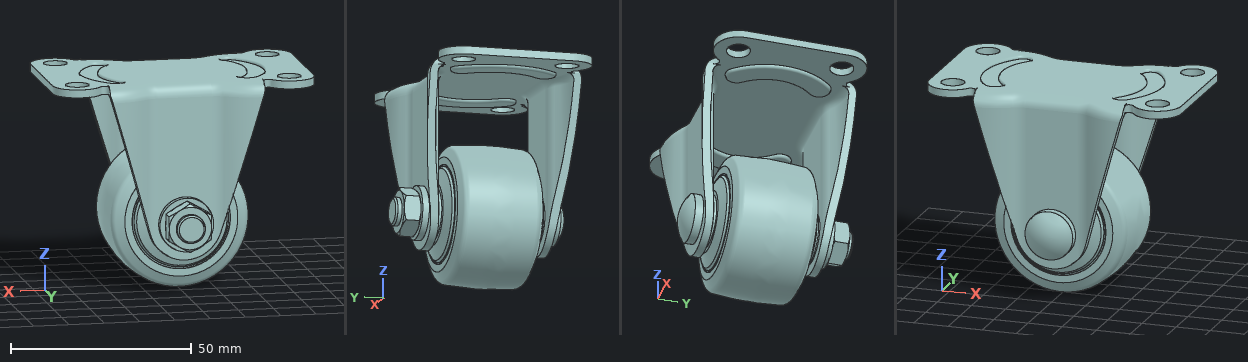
import cadquery as cq
import math


axle_height = 40.0
sheet = 2.3

plate_length = 74.0
plate_width = 44.0
corner_radius = 7.0
hole_spacing_x = 60.0
hole_spacing_y = 30.0
hole_diameter = 6.6
notch_radius = 1.3

leg_half_width = 21.9
flat_half_width = 7.6
flat_outer_y = 18.0
curve_end_x = 21.4
inner_curve_radius = 6.5
bend_inner_radius = 2.0
bend_outer_radius = bend_inner_radius + sheet
leg_tip_radius = 10.3

recess_center_x = 5.9
recess_arc_radius = 17.5
recess_half_angle = 43.0
recess_depth = 1.0
recess_floor_half_width = 2.5
recess_lip = 0.99
bulge_half_width = 3.3
bulge_rounding = 0.9

wheel_radius = 20.0
tread_edge_radius = 19.5
tread_half_width = 9.8
shoulder_radius = 18.2
shoulder_y = 11.4
shoulder_bulge = 0.28
rim_radius = 16.0
rim_y = 12.4
groove_outer_radius = 13.9
groove_depth = 0.4
hub_radius = 13.4
hub_rim_y = 13.05
hub_chamfer = 0.6
hub_face_radius = 8.8
hub_face_y = 14.4
collar_radius = 7.6
collar_chamfer = 0.5

axle_radius = 4.0
axle_chamfer = 0.5
axle_end_y = 26.5
head_radius = 7.0
head_rim_height = 2.4
head_tip_y = 23.0
washer_radius = 7.6
washer_thickness = 1.9
nut_across_flats = 12.0
nut_height = 4.9
nut_half_angle = 30.0
nut_chamfer_angle = 30.0

plate_bottom_z = axle_height - sheet
flat_inner_y = flat_outer_y - sheet
leg_edge_y = plate_width / 2
recess_box_x = recess_center_x + recess_arc_radius + bulge_half_width
recess_box_y = recess_arc_radius * math.sin(math.radians(recess_half_angle)) + bulge_half_width


step_run = curve_end_x - flat_half_width
step_rise = leg_edge_y - flat_outer_y
step_angle = 2 * math.atan(step_rise / step_run)
outer_curve_radius = step_run / math.sin(step_angle) - inner_curve_radius


def leg_curve(inset):
    """Quarter of the leg curve in plan, moved inwards by inset, from the flat to past the leg edge."""
    near_radius = inner_curve_radius + inset
    far_radius = outer_curve_radius - inset

    def near_point(angle):
        return (flat_half_width + near_radius * math.sin(angle),
                flat_outer_y + inner_curve_radius - near_radius * math.cos(angle))

    def far_point(angle):
        return (curve_end_x - far_radius * math.sin(angle),
                leg_edge_y - outer_curve_radius + far_radius * math.cos(angle))

    beyond_edge = (leg_half_width + sheet, leg_edge_y - inset)
    return [near_point(0), near_point(step_angle / 2), near_point(step_angle),
            far_point(step_angle / 2), far_point(0), beyond_edge]


def waisted_block(inset, top_z, bend_radius):
    """Block between the two leg curves with its long top edges rounded."""
    curve = leg_curve(inset)
    back_side = [(-x, y) for x, y in reversed(curve)] + curve
    front_side = [(-x, -y) for x, y in back_side]
    bottom_z = -leg_tip_radius - sheet
    outline = cq.Workplane("XY").workplane(offset=bottom_z).moveTo(*front_side[-1])
    for side in (back_side, front_side):
        start, left_end, left_1, left_2, left_3, left_flat = side[:6]
        right_flat, right_1, right_2, right_3, right_end, finish = side[6:]
        outline = outline.lineTo(*start).lineTo(*left_end)
        outline = outline.threePointArc(left_1, left_2).threePointArc(left_3, left_flat)
        outline = outline.lineTo(*right_flat)
        outline = outline.threePointArc(right_1, right_2).threePointArc(right_3, right_end)
        outline = outline.lineTo(*finish)
    block = outline.close().extrude(top_z - bottom_z)
    return block.faces(">Z").edges("not(|Y)").fillet(bend_radius)


def leg_silhouette():
    """Tapered outline of the legs seen along Y, rounded around the axle."""
    corner_distance = math.hypot(leg_half_width, plate_bottom_z)
    corner_angle = math.atan2(plate_bottom_z, leg_half_width)
    tangent_angle = corner_angle - math.acos(leg_tip_radius / corner_distance)
    tangent_x = leg_tip_radius * math.cos(tangent_angle)
    tangent_z = leg_tip_radius * math.sin(tangent_angle)
    return (cq.Workplane("XZ")
            .moveTo(-leg_half_width, axle_height)
            .lineTo(leg_half_width, axle_height)
            .lineTo(leg_half_width, plate_bottom_z)
            .lineTo(tangent_x, tangent_z)
            .threePointArc((0, -leg_tip_radius), (-tangent_x, tangent_z))
            .lineTo(-leg_half_width, plate_bottom_z)
            .close()
            .extrude(plate_width, both=True))


def plate_end(side):
    """End of the plate with two round ears, on the +X (side 1) or -X (side -1) end."""
    ear_x = plate_length / 2 - corner_radius
    ear_y = plate_width / 2 - corner_radius
    notch_x = leg_half_width + notch_radius
    center_distance = corner_radius + notch_radius
    notch_y = ear_y + math.sqrt(center_distance**2 - (ear_x - notch_x)**2)
    join_angle = math.atan2(notch_y - ear_y, notch_x - ear_x)
    ear_middle_angle = join_angle / 2
    notch_middle_angle = join_angle / 2 - math.pi

    def ear_point(angle, end):
        return (side * (ear_x + corner_radius * math.cos(angle)),
                end * (ear_y + corner_radius * math.sin(angle)))

    def notch_point(angle, end):
        return (side * (notch_x + notch_radius * math.cos(angle)),
                end * (notch_y + notch_radius * math.sin(angle)))

    return (cq.Workplane("XY").workplane(offset=plate_bottom_z)
            .moveTo(*ear_point(0, -1))
            .lineTo(*ear_point(0, 1))
            .threePointArc(ear_point(ear_middle_angle, 1), ear_point(join_angle, 1))
            .threePointArc(notch_point(notch_middle_angle, 1), notch_point(-math.pi, 1))
            .lineTo(*notch_point(-math.pi, -1))
            .threePointArc(notch_point(notch_middle_angle, -1), ear_point(join_angle, -1))
            .threePointArc(ear_point(ear_middle_angle, -1), ear_point(0, -1))
            .close()
            .extrude(sheet))


def curved_slot(side, half_width, bottom_z, height):
    """Solid slot along an arc, bowed towards the +X (side 1) or -X (side -1) end."""
    half_angle = math.radians(recess_half_angle)
    inner = recess_arc_radius - half_width
    outer = recess_arc_radius + half_width

    def point(radius, angle, beyond=0.0):
        x = recess_center_x + radius * math.cos(angle) - beyond * math.sin(angle)
        y = radius * math.sin(angle) + beyond * math.cos(angle)
        return (side * x, y)

    return (cq.Workplane("XY").workplane(offset=bottom_z)
            .moveTo(*point(outer, -half_angle))
            .threePointArc(point(outer, 0), point(outer, half_angle))
            .threePointArc(point(recess_arc_radius, half_angle, half_width), point(inner, half_angle))
            .threePointArc(point(inner, 0), point(inner, -half_angle))
            .threePointArc(point(recess_arc_radius, -half_angle, -half_width), point(outer, -half_angle))
            .close()
            .extrude(height))


def build_bracket():
    outer = waisted_block(0, axle_height, bend_outer_radius)
    inner = waisted_block(sheet, plate_bottom_z, bend_inner_radius)
    bracket = outer.cut(inner).intersect(leg_silhouette())
    for side in (1, -1):
        bulge = curved_slot(side, bulge_half_width, plate_bottom_z - recess_depth, recess_depth)
        bulge = bulge.faces("<Z").edges().fillet(bulge_rounding)
        bracket = bracket.union(plate_end(side)).union(bulge)
    floor_z = axle_height - recess_depth
    for side in (1, -1):
        bracket = bracket.cut(curved_slot(side, recess_floor_half_width, floor_z, recess_depth))
        recess_lip_edges = bracket.faces(">Z").edges(
            cq.selectors.BoxSelector(
                (side * recess_center_x, -recess_box_y, axle_height - recess_lip / 2),
                (side * recess_box_x, recess_box_y, axle_height + recess_lip / 2),
                boundingbox=True))
        bracket = recess_lip_edges.fillet(recess_lip)
    mounting_holes = (cq.Workplane("XY").workplane(offset=plate_bottom_z)
                      .rarray(hole_spacing_x, hole_spacing_y, 2, 2)
                      .circle(hole_diameter / 2)
                      .extrude(sheet))
    axle_holes = cq.Workplane("XZ").circle(axle_radius).extrude(plate_width, both=True)
    return bracket.cut(mounting_holes).cut(axle_holes)


def build_wheel():
    half_profile = [
        (shoulder_radius, shoulder_y),
        (rim_radius, rim_y),
        (groove_outer_radius, rim_y),
        (groove_outer_radius, rim_y - groove_depth),
        (hub_radius, rim_y - groove_depth),
        (hub_radius, hub_rim_y - hub_chamfer),
        (hub_radius - hub_chamfer, hub_rim_y),
        (hub_face_radius, hub_face_y),
        (collar_radius, hub_face_y),
        (collar_radius, flat_inner_y - collar_chamfer),
        (collar_radius - collar_chamfer, flat_inner_y),
        (axle_radius, flat_inner_y),
    ]
    mirrored = [(radius, -y) for radius, y in reversed(half_profile)]
    return (cq.Workplane("XY")
            .moveTo(tread_edge_radius, -tread_half_width)
            .threePointArc((wheel_radius, 0), (tread_edge_radius, tread_half_width))
            .sagittaArc(half_profile[0], -shoulder_bulge)
            .polyline(half_profile[1:] + mirrored, includeCurrent=True)
            .sagittaArc((tread_edge_radius, -tread_half_width), -shoulder_bulge)
            .close()
            .revolve(360, (0, 0, 0), (0, 1, 0)))


def build_axle():
    head_rim_y = flat_outer_y + head_rim_height
    dome_height = head_tip_y - head_rim_y
    dome_radius = (head_radius**2 + dome_height**2) / (2 * dome_height)
    dome_angle = math.asin(head_radius / dome_radius) / 2
    dome_middle = (dome_radius * math.sin(dome_angle),
                   -head_tip_y + dome_radius * (1 - math.cos(dome_angle)))
    nut_start_y = flat_outer_y + washer_thickness
    nut_end_y = nut_start_y + nut_height
    bolt = (cq.Workplane("XY")
            .moveTo(0, -head_tip_y)
            .threePointArc(dome_middle, (head_radius, -head_rim_y))
            .lineTo(head_radius, -flat_outer_y)
            .lineTo(axle_radius, -flat_outer_y)
            .lineTo(axle_radius, flat_outer_y)
            .lineTo(washer_radius, flat_outer_y)
            .lineTo(washer_radius, nut_start_y)
            .lineTo(axle_radius, nut_start_y)
            .lineTo(axle_radius, axle_end_y - axle_chamfer)
            .lineTo(axle_radius - axle_chamfer, axle_end_y)
            .lineTo(0, axle_end_y)
            .close()
            .revolve(360, (0, 0, 0), (0, 1, 0)))

    flat_radius = nut_across_flats / 2
    point_radius = flat_radius / math.cos(math.radians(nut_half_angle))
    cone_height = (point_radius - flat_radius) * math.tan(math.radians(nut_chamfer_angle))
    hexagon = (cq.Workplane("XZ", origin=(0, nut_end_y, 0))
               .polygon(6, 2 * point_radius)
               .extrude(nut_height)
               .rotate((0, 0, 0), (0, 1, 0), nut_half_angle))
    turned = (cq.Workplane("XY")
              .polyline([(0, nut_start_y), (flat_radius, nut_start_y),
                         (point_radius, nut_start_y + cone_height),
                         (point_radius, nut_end_y - cone_height),
                         (flat_radius, nut_end_y), (0, nut_end_y)])
              .close()
              .revolve(360, (0, 0, 0), (0, 1, 0)))
    return bolt.union(hexagon.intersect(turned))


bracket = build_bracket()
wheel = build_wheel()
axle = build_axle()

result = cq.Compound.makeCompound([bracket.val(), wheel.val(), axle.val()])